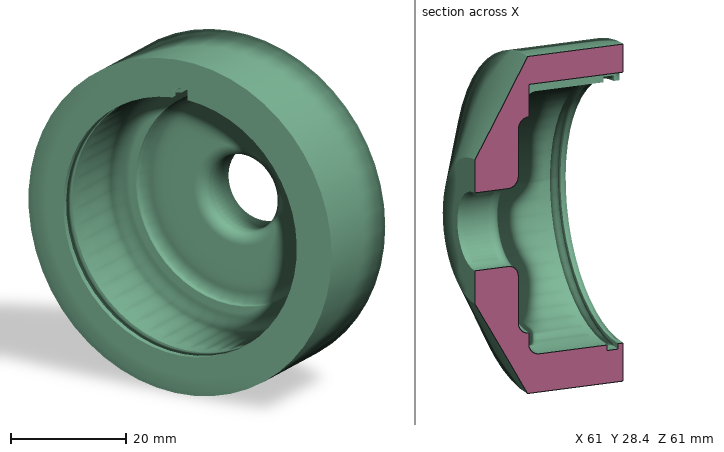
import cadquery as cq
import math

outer_radius = 30.5
total_length = 28.4
back_radius = 13.0
cone_slope = 30.0
cone_length = (outer_radius - back_radius) * math.tan(math.radians(cone_slope))
shoulder_y = total_length - cone_length

round_radius = 2.0
bore_radius = 23.5
shelf_depth = 18.0
recess_radius = 19.5
floor_depth = shelf_depth + round_radius
through_radius = 7.0

outward_diagonal = 45
inward_diagonal = outward_diagonal + 180

groove_radius = 24.5
groove_start = 1.0
groove_width = 2.0

keyway_width = 3.0
keyway_top = 25.3


def revolve_about_y(profile):
    return profile.close().revolve(360, (0, 0, 0), (0, 1, 0))


def arc_midpoint(center_r, center_y, angle):
    """Point on a corner arc, at the given angle in degrees around its centre."""
    turn = math.radians(angle)
    return (center_r + round_radius * math.cos(turn), center_y + round_radius * math.sin(turn))


def make_body():
    return revolve_about_y(
        cq.Workplane("XY")
        .lineTo(outer_radius, 0)
        .lineTo(outer_radius, shoulder_y)
        .lineTo(back_radius, total_length)
        .lineTo(0, total_length)
    )


def make_bore():
    bore_corner = arc_midpoint(bore_radius - round_radius, shelf_depth - round_radius, outward_diagonal)
    recess_corner = arc_midpoint(recess_radius - round_radius, floor_depth - round_radius, outward_diagonal)
    hole_rim = arc_midpoint(through_radius + round_radius, floor_depth + round_radius, inward_diagonal)
    return revolve_about_y(
        cq.Workplane("XY")
        .lineTo(bore_radius, 0)
        .lineTo(bore_radius, shelf_depth - round_radius)
        .threePointArc(bore_corner, (bore_radius - round_radius, shelf_depth))
        .lineTo(recess_radius, shelf_depth)
        .threePointArc(recess_corner, (recess_radius - round_radius, floor_depth))
        .lineTo(through_radius + round_radius, floor_depth)
        .threePointArc(hole_rim, (through_radius, floor_depth + round_radius))
        .lineTo(through_radius, total_length)
        .lineTo(0, total_length)
    )


def make_ring_groove():
    return revolve_about_y(
        cq.Workplane("XY")
        .moveTo(0, groove_start)
        .lineTo(groove_radius, groove_start)
        .lineTo(groove_radius, groove_start + groove_width)
        .lineTo(0, groove_start + groove_width)
    )


def make_keyway():
    keyway_bottom = recess_radius
    keyway_height = keyway_top - keyway_bottom
    return (
        cq.Workplane("XY")
        .box(keyway_width, shelf_depth, keyway_height, centered=(True, False, False))
        .translate((0, 0, keyway_bottom))
    )


result = make_body().cut(make_bore()).cut(make_ring_groove()).cut(make_keyway())